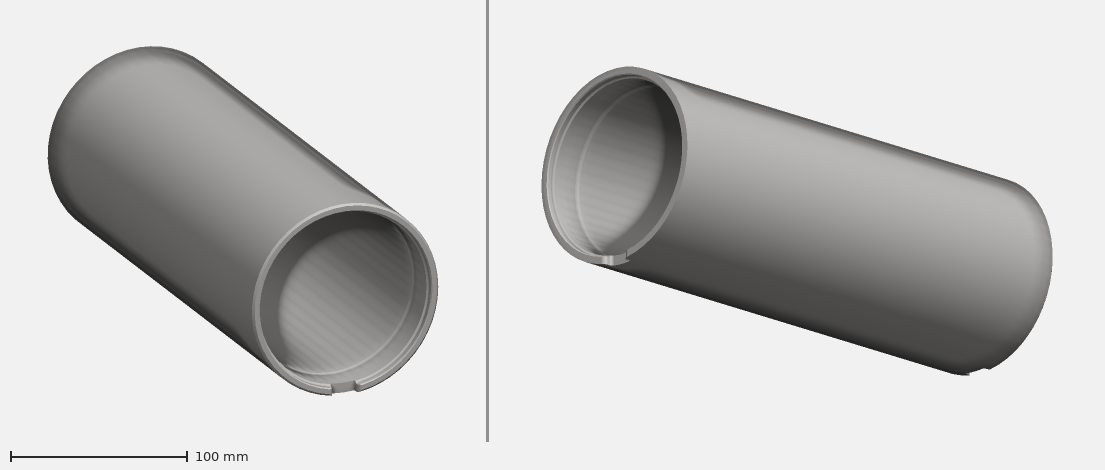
import cadquery as cq

length = 300.0
outer_radius = 57.15
bore_radius = 50.7
outer_chamfer = 1.2

mouth_radius = 52.5
mouth_chamfer = 0.5
mouth_depth = 3.5
seat_radius = 51.3
seat_start = 4.5
seat_end = 21.3
bore_start = 24.0

notch_width = 15.3
notch_depth = 5.7
notch_corner_radius = 1.8
notch_mouth_radius = 2.7


def make_tube():
    """Revolve the wall section, stepped the same way at both ends."""
    left_steps = [
        (0, mouth_radius + mouth_chamfer),
        (mouth_chamfer, mouth_radius),
        (mouth_depth, mouth_radius),
        (seat_start, seat_radius),
        (seat_end, seat_radius),
        (bore_start, bore_radius),
    ]
    right_steps = [(length - x, radius) for x, radius in reversed(left_steps)]
    outside = [
        (length, outer_radius - outer_chamfer),
        (length - outer_chamfer, outer_radius),
        (0, outer_radius),
    ]
    section = cq.Workplane("XY").polyline(left_steps + right_steps + outside).close()
    return section.revolve(360, (0, 0, 0), (1, 0, 0))


def make_notch():
    """Cutter for the left end: rounded inner corners and a mouth flared by convex rounds."""
    half_width = notch_width / 2
    flare_half_width = half_width + notch_mouth_radius
    overshoot = 3.0
    outline = (
        cq.Sketch()
        .push([(notch_depth / 2, 0)])
        .rect(notch_depth, notch_width)
        .reset()
        .vertices(">X")
        .fillet(notch_corner_radius)
        .reset()
        .push([(notch_mouth_radius / 2, 0)])
        .rect(notch_mouth_radius, 2 * flare_half_width)
        .reset()
        .push([(notch_mouth_radius, flare_half_width), (notch_mouth_radius, -flare_half_width)])
        .circle(notch_mouth_radius, mode="s")
        .reset()
        .push([(-overshoot / 2, 0)])
        .rect(overshoot, 2 * flare_half_width)
    )
    return cq.Workplane("XY").placeSketch(outline).extrude(-2 * outer_radius)


left_notch = make_notch()
right_notch = left_notch.mirror("YZ", (length / 2, 0, 0))
result = make_tube().cut(left_notch).cut(right_notch)